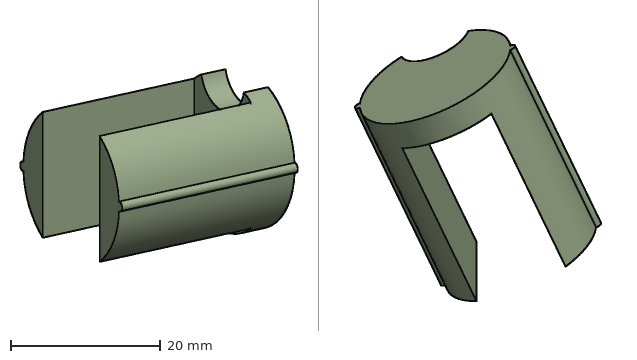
import cadquery as cq

length = 29.0
body_radius = 11.0
slot_width = 13.0
end_wall = 4.0
notch_radius = 5.0
overall_width = 23.4
bead_radius = 0.7
right_bead_rise = 0.12
bead_offset = overall_width / 2 - bead_radius


def rod(radius, x=0, z=0):
    """Full-length cylinder along +Y, centred at the given X and Z."""
    return cq.Workplane("XZ").center(x, z).circle(radius).extrude(-length)


body = rod(body_radius)
for x, z in ((-bead_offset, 0), (bead_offset, right_bead_rise)):
    body = body.union(rod(bead_radius, x, z))

slot = cq.Workplane("XY").box(
    slot_width, length - end_wall, 2 * body_radius, centered=(True, False, True)
)

notch = rod(notch_radius, z=body_radius)

result = body.cut(slot).cut(notch)